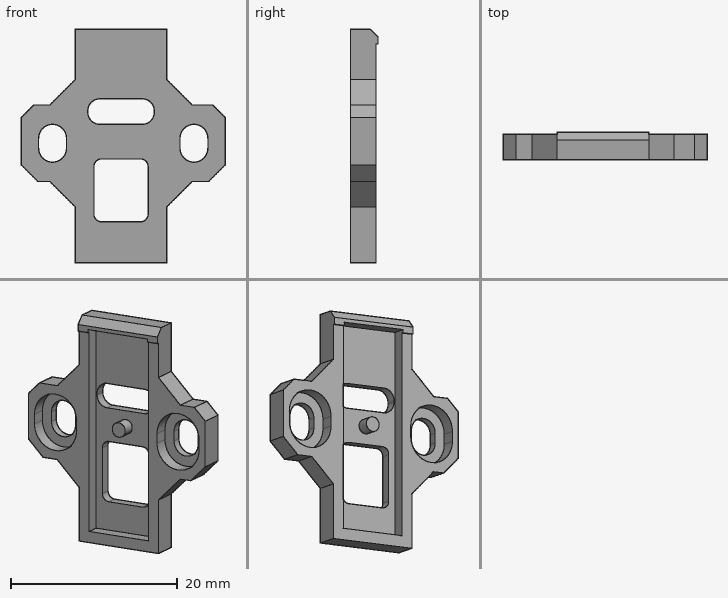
import cadquery as cq

HEIGHT = 28.07
THICKNESS = 3.1
STRIP_WIDTH = 11.0

WING_LEFT = -11.99
WING_RIGHT = 12.52
WING_BOTTOM = 9.75
WING_TOP = 18.98
WING_TOP_CHAMFER = 1.52
WING_BOTTOM_CHAMFER = 2.02
GUSSET = 3.03
WING_CENTER_X = (WING_LEFT + WING_RIGHT) / 2
WING_CENTER_Z = (WING_BOTTOM + WING_TOP) / 2

LIP_PROJECTION = 0.25
LIP_HEIGHT = 1.8
LIP_CHAMFER = 0.95

MOUNT_SPACING = 16.98
MOUNT_WIDTH = 3.3
MOUNT_STRAIGHT = 1.2
MOUNT_HEAD_WIDTH = 5.85
MOUNT_FLOOR = 1.18

UPPER_SLOT_WIDTH = 7.95
UPPER_SLOT_HEIGHT = 3.03
UPPER_SLOT_Z = 18.15
UPPER_SLOT_RADIUS = 1.4
WINDOW_WIDTH = 6.48
WINDOW_HEIGHT = 7.52
WINDOW_Z = 8.7
WINDOW_RADIUS = 0.9

POCKET_WIDTH = 8.2
POCKET_FLOOR = 1.4
RIM = (STRIP_WIDTH - POCKET_WIDTH) / 2
POCKET_HEIGHT = HEIGHT - 2 * RIM
POST_DIAMETER = 1.8
POST_Z = 14.65


def back_facing_plane(y):
    """Plane facing the back (+Y) at depth y; its local axes are -X and +Z."""
    return cq.Workplane(cq.Plane(origin=(0, y, 0), xDir=(-1, 0, 0), normal=(0, 1, 0)))


def plate():
    half = STRIP_WIDTH / 2
    right_side = [
        (half, 0),
        (half, WING_BOTTOM - GUSSET),
        (half + GUSSET, WING_BOTTOM),
        (WING_RIGHT - WING_BOTTOM_CHAMFER, WING_BOTTOM),
        (WING_RIGHT, WING_BOTTOM + WING_BOTTOM_CHAMFER),
        (WING_RIGHT, WING_TOP - WING_TOP_CHAMFER),
        (WING_RIGHT - WING_TOP_CHAMFER, WING_TOP),
        (half + GUSSET, WING_TOP),
        (half, WING_TOP + GUSSET),
        (half, HEIGHT),
    ]
    left_side = [
        (-half, HEIGHT),
        (-half, WING_TOP + GUSSET),
        (-half - GUSSET, WING_TOP),
        (WING_LEFT + WING_TOP_CHAMFER, WING_TOP),
        (WING_LEFT, WING_TOP - WING_TOP_CHAMFER),
        (WING_LEFT, WING_BOTTOM + WING_BOTTOM_CHAMFER),
        (WING_LEFT + WING_BOTTOM_CHAMFER, WING_BOTTOM),
        (-half - GUSSET, WING_BOTTOM),
        (-half, WING_BOTTOM - GUSSET),
        (-half, 0),
    ]
    return cq.Workplane("XZ").polyline(right_side + left_side).close().extrude(-THICKNESS)


def add_lip(body):
    """Thicken the top edge backward and bevel its upper back corner."""
    back = THICKNESS + LIP_PROJECTION
    lip = (
        cq.Workplane("XY")
        .box(STRIP_WIDTH, back, LIP_HEIGHT, centered=(True, False, False))
        .translate((0, 0, HEIGHT - LIP_HEIGHT))
    )
    return body.union(lip).faces(">Z").edges(">Y").chamfer(LIP_CHAMFER)


def rounded_opening(width, height, z, radius):
    return (
        back_facing_plane(0)
        .center(0, z)
        .rect(width, height)
        .extrude(THICKNESS)
        .edges("|Y")
        .fillet(radius)
    )


def mount_slot(x):
    """Through slot with a wider slot sunk from the back, both upright."""
    center = (-x, WING_CENTER_Z)
    through = (
        back_facing_plane(0)
        .center(*center)
        .slot2D(MOUNT_STRAIGHT + MOUNT_WIDTH, MOUNT_WIDTH, 90)
        .extrude(THICKNESS)
    )
    head = (
        back_facing_plane(MOUNT_FLOOR)
        .center(*center)
        .slot2D(MOUNT_STRAIGHT + MOUNT_HEAD_WIDTH, MOUNT_HEAD_WIDTH, 90)
        .extrude(THICKNESS - MOUNT_FLOOR)
    )
    return through.union(head)


def back_pocket():
    """Rectangular pocket open at the back, leaving the post standing."""
    depth = THICKNESS + LIP_PROJECTION - POCKET_FLOOR
    pocket = (
        back_facing_plane(POCKET_FLOOR)
        .center(0, HEIGHT / 2)
        .rect(POCKET_WIDTH, POCKET_HEIGHT)
        .extrude(depth)
    )
    post = (
        back_facing_plane(POCKET_FLOOR)
        .center(0, POST_Z)
        .circle(POST_DIAMETER / 2)
        .extrude(THICKNESS - POCKET_FLOOR)
    )
    return pocket.cut(post)


result = add_lip(plate())
result = result.cut(back_pocket())
result = result.cut(rounded_opening(UPPER_SLOT_WIDTH, UPPER_SLOT_HEIGHT, UPPER_SLOT_Z, UPPER_SLOT_RADIUS))
result = result.cut(rounded_opening(WINDOW_WIDTH, WINDOW_HEIGHT, WINDOW_Z, WINDOW_RADIUS))
for side in (-1, 1):
    result = result.cut(mount_slot(WING_CENTER_X + side * MOUNT_SPACING / 2))